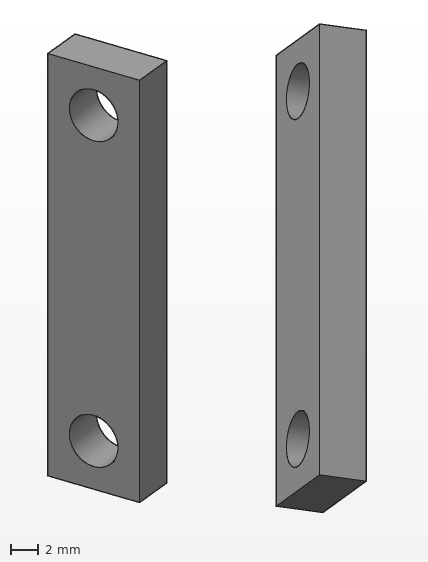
import cadquery as cq

width = 8.0
thickness = 3.75
height = 35.0

hole_diameter = 4.25
hole_spacing = 27.0

bar = cq.Workplane("XY").box(width, thickness, height)

hole_centers = [(0, -hole_spacing / 2), (0, hole_spacing / 2)]
result = bar.faces("<Y").workplane(origin=(0, 0, 0)).pushPoints(hole_centers).hole(hole_diameter)